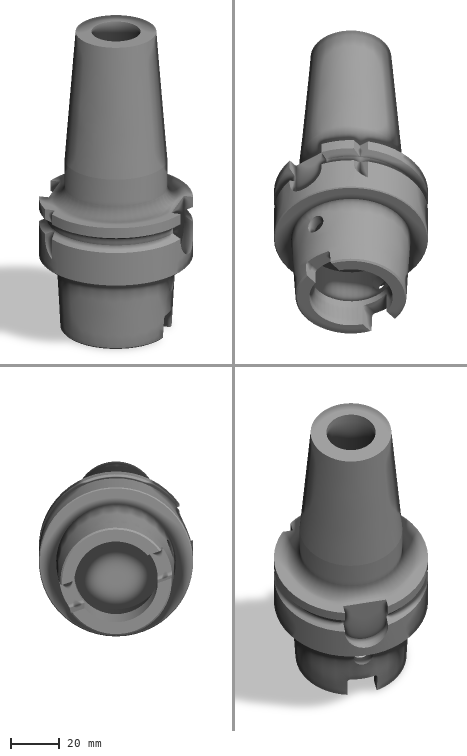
import cadquery as cq

total_height = 132.0
flange_bottom = 32.1
flange_top = 58.1
groove_lower_edge = 47.0
groove_upper_edge = 53.6
groove_bevel_height = 1.7
neck_taper_start = 75.1

flange_radius = 63.0 / 2
groove_radius = 28.4
groove_relief = 0.33
shank_top_radius = 24.4
shank_end_radius = 22.7
shank_chamfer = 0.7
neck_radius = 21.0
neck_fillet = 5.0
nose_radius = 16.5
flange_chamfer = 0.4

bore_radius = 10.0
bore_depth = 50.2

slot_floor_offset = 26.3
slot_bottom = 37.1
left_slot_width = 16.4
right_slot_width = 18.0

notch_offset = 20.0
notch_radius = left_slot_width / 2

cross_hole_diameter = 7.8
cross_hole_height = 23.1
end_slot_width = 12.4
left_end_slot_height = 6.2
right_end_slot_height = 10.3
end_slot_fillet = 1.3

mouth_radius = 17.0
cavity_radius = 19.8
cavity_bottom = 13.2
cavity_top = 31.7

clearance = 13.2


def turned_body():
    """Shank, grooved flange and tapered neck as one revolved solid."""
    profile = (
        cq.Workplane("XZ")
        .lineTo(shank_end_radius - shank_chamfer, 0)
        .lineTo(shank_end_radius, shank_chamfer)
        .lineTo(shank_top_radius, flange_bottom)
        .lineTo(flange_radius - flange_chamfer, flange_bottom)
        .lineTo(flange_radius, flange_bottom + flange_chamfer)
        .lineTo(flange_radius, groove_lower_edge)
        .lineTo(groove_radius + groove_relief, groove_lower_edge + groove_bevel_height)
        .lineTo(groove_radius, groove_lower_edge + groove_bevel_height + groove_relief)
        .lineTo(groove_radius, groove_upper_edge - groove_bevel_height)
        .lineTo(flange_radius, groove_upper_edge)
        .lineTo(flange_radius, flange_top)
        .lineTo(neck_radius + neck_fillet, flange_top)
        .radiusArc((neck_radius, flange_top + neck_fillet), neck_fillet)
        .lineTo(neck_radius, neck_taper_start)
        .lineTo(nose_radius, total_height)
        .lineTo(0, total_height)
        .close()
    )
    return profile.revolve(360, (0, 0, 0), (0, 1, 0))


def drive_slot(side, width):
    """Slot on the -X (side = -1) or +X (side = 1) edge of the flange."""
    radius = width / 2
    arc_centre = slot_bottom + radius
    return (
        cq.Workplane("YZ", origin=(side * slot_floor_offset, 0, 0))
        .moveTo(-radius, flange_top)
        .lineTo(-radius, arc_centre)
        .threePointArc((0, slot_bottom), (radius, arc_centre))
        .lineTo(radius, flange_top)
        .close()
        .extrude(side * clearance)
    )


def corner_notch():
    """Notch at the -X, -Y corner whose -Y facing wall curves outward at its foot."""
    arc_centre = slot_bottom + notch_radius
    outer_y = -notch_offset - notch_radius
    return (
        cq.Workplane("YZ", origin=(-notch_offset, 0, 0))
        .moveTo(-notch_offset, flange_top)
        .lineTo(-notch_offset, arc_centre)
        .radiusArc((outer_y, slot_bottom), notch_radius)
        .lineTo(outer_y, flange_top)
        .close()
        .extrude(-clearance)
    )


def end_slot(side, height):
    """Slot in the shank wall on the -X (side = -1) or +X (side = 1) side, open at the lower end."""
    return (
        cq.Workplane("XY")
        .box(flange_radius, end_slot_width, height, centered=(False, True, False))
        .edges("|X and >Z")
        .fillet(end_slot_fillet)
        .rotate((0, 0, 0), (0, 0, 1), 0 if side > 0 else 180)
    )


def tool_bore():
    """Blind bore from the nose."""
    bore_floor = total_height - bore_depth
    return cq.Workplane("XY", origin=(0, 0, bore_floor)).circle(bore_radius).extrude(bore_depth)


def shank_hollow():
    """Stepped hollow of the shank, open at the lower end."""
    mouth = cq.Workplane("XY").circle(mouth_radius).extrude(cavity_bottom)
    cavity = (
        cq.Workplane("XY", origin=(0, 0, cavity_bottom))
        .circle(cavity_radius)
        .extrude(cavity_top - cavity_bottom)
    )
    return mouth.union(cavity)


def cross_hole():
    """Hole along X through the whole shank."""
    return (
        cq.Workplane("YZ")
        .center(0, cross_hole_height)
        .circle(cross_hole_diameter / 2)
        .extrude(flange_radius, both=True)
    )


result = (
    turned_body()
    .cut(tool_bore())
    .cut(shank_hollow())
    .cut(cross_hole())
    .cut(drive_slot(-1, left_slot_width))
    .cut(drive_slot(1, right_slot_width))
    .cut(corner_notch())
    .cut(end_slot(-1, left_end_slot_height))
    .cut(end_slot(1, right_end_slot_height))
)